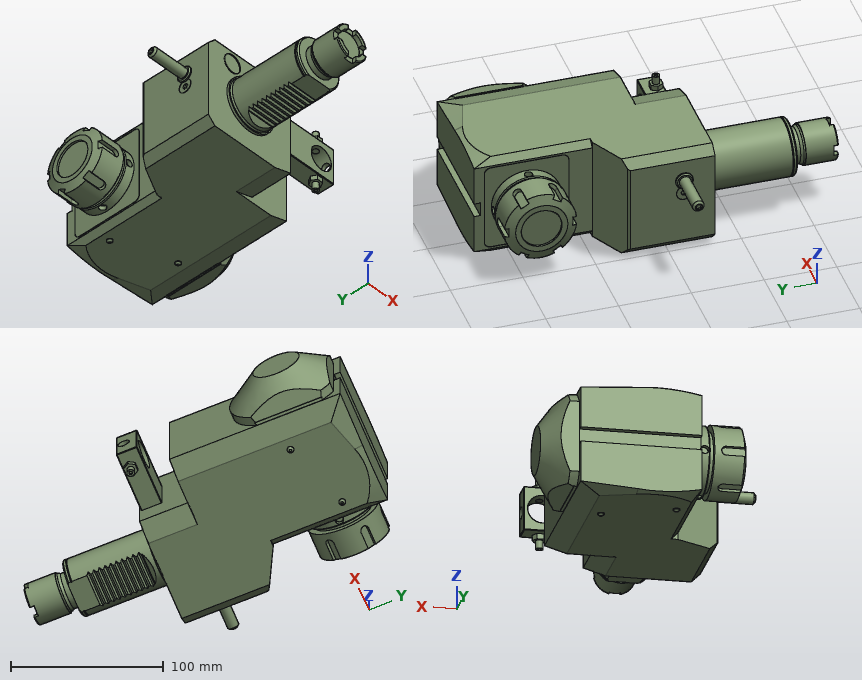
import cadquery as cq
import math


housing_height = 75.0
half_height = housing_height / 2
front_left = -39.0
front_right = 39.3
front_depth = 34.9
rear_left = -9.0
rear_right = 72.2
rear_end = 156.0
slope_start = 59.3
slope_end = 75.0
slope_edge_chamfer = 1.12
front_left_chamfer = 6.2
rear_left_chamfer = 4.5
right_chamfer_run = 15.0
right_chamfer_drop = 4.5
crown_top_end = 143.5
crown_top_peak = 152.6
crown_peak_x = 19.5
crown_shoulder_x = 33.9
crown_shoulder_drop = 2.0
crown_low_peak = 165.5
notch_width = 10.0
notch_depth = 4.2

spindle_y = 120.0
nut_tip = -42.0
nut_rim = -39.5
nut_back = -19.7
nut_radius = 25.0
nut_face_radius = 18.0
nut_bore_radius = 14.0
nut_bore_depth = 1.5
nut_slot_count = 6
nut_slot_width = 6.2
nut_slot_end = -24.5
nut_slot_depth = 3.0
groove_radius = 20.5
collar_start = -17.0
collar_radius = 24.2
collar_chamfer = 0.7
collar_hole_x = -13.2
collar_hole_diameter = 5.5
collar_hole_depth = 3.7
collar_hole_count = 4
pad_length = 58.0
pad_height = 63.0
pad_corner = 4.5
pad_depth = 0.2

cap_radius = 39.8
cap_rim = 78.5
cap_end = 95.0
cap_end_radius = 16.5
cap_flat_y = 151.5
cap_seam_end = 74.2
cap_seam_depth = 0.5

flange_radius = 21.5
flange_length = 2.0
flange_step_radius = 20.5
flange_taper_end = 3.5
shank_radius = 20.0
shank_end = 63.0
shank_chamfer = 1.0
ring_groove_from_end = 3.2
ring_groove_width = 0.7
ring_groove_depth = 0.2
rack_flat = 16.5
rack_start = 9.7
rack_pitch = 4.0
rack_grooves = 10
rack_groove_width = 2.7
rack_groove_depth = 1.2
neck_radius = 12.5
neck_end = 67.2
shoulder_start = 69.2
shoulder_radius = 13.5
coupling_diameter = 28.6
coupling_radius = coupling_diameter / 2
coupling_start = 70.5
coupling_end = 93.0
coupling_bore_radius = 10.2
coupling_slot_depth = 3.2
coupling_bore_depth = 3.5
coupling_slot_width = 7.5
coupling_slot_count = 4
coupling_chamfer = 0.7

bracket_right = 82.2
bracket_near = 1.2
bracket_far = 16.0
bracket_half_height = 15.2
bracket_chamfer = 0.5
bracket_hole_diameter = 19.2
bracket_hole_x = 70.0
side_hole_diameter = 8.0
screw_y = 6.5
screw_radius = 2.5
screw_inner = 9.2
screw_outer = 24.7
screw_nut_flats = 8.2
screw_nut_height = 3.7

pin_y = 21.2
pin_z = 16.0
pin_tip = -71.5
pin_radius = 4.0
pin_chamfer = 1.5
pin_seat_radius = 6.0
pin_seat_height = 1.7
socket_diameter = 4.2
socket_depth = 1.5
plug_z = 6.0
plug_radius = 5.2
plug_recess = 0.2
port_x = -16.0
port_z = 27.5
port_radius = 7.5
port_depth = 0.7
nipple_places = [(2.7, 128.7), (49.8, 111.5)]
nipple_radius = 2.2
nipple_tip_radius = 0.7
nipple_height = 1.7

overlap = 2.5
far = 249.0


def cylinder_x(radius, start, end, y, z):
    """Cylinder along X between two X positions."""
    return (
        cq.Workplane("YZ", origin=(start, y, z))
        .circle(radius)
        .extrude(end - start)
    )


def section_along_y(left, right, left_chamfer):
    """Cross-section with plain left chamfers and long shallow right chamfers."""
    upper_half = [
        (left, half_height - left_chamfer),
        (left + left_chamfer, half_height),
        (right - right_chamfer_run, half_height),
        (right, half_height - right_chamfer_drop),
    ]
    lower_half = [(x, -z) for x, z in reversed(upper_half)]
    return cq.Workplane("XZ").polyline(upper_half + lower_half).close()


def front_block():
    block = section_along_y(front_left, front_right, front_left_chamfer).extrude(-slope_end)
    slope = (slope_end - slope_start) / (rear_left - front_left)
    reach = slope_end - slope_start + overlap
    corner = (
        cq.Workplane("XY")
        .moveTo(front_left - overlap, slope_start - slope * overlap)
        .lineTo(front_left - overlap, slope_start + reach)
        .lineTo(front_left + reach / slope, slope_start + reach)
        .close()
        .extrude(half_height, both=True)
    )
    return (
        block.cut(corner)
        .edges(cq.selectors.NearestToPointSelector((front_left, slope_start, 0)))
        .chamfer(slope_edge_chamfer)
    )


def crown_envelope():
    """Upper half of the housing space, closed at the rear by a leaning arched face."""
    low = half_height - rear_left_chamfer

    def arch(plane, left, right, end, peak):
        return (
            plane.moveTo(left, -overlap)
            .lineTo(left, end)
            .threePointArc((crown_peak_x, peak), (crown_shoulder_x, peak - crown_shoulder_drop))
            .lineTo(right, end)
            .lineTo(right, -overlap)
            .close()
        )

    sections = arch(cq.Workplane("XY"), rear_left, rear_right, rear_end, crown_low_peak)
    sections = arch(
        sections.workplane(offset=half_height - low),
        rear_left + rear_left_chamfer,
        rear_right - right_chamfer_run,
        crown_top_end,
        crown_top_peak,
    )
    lean = sections.loft(ruled=True, combine=True).translate((0, 0, low))
    lower = arch(cq.Workplane("XY"), rear_left, rear_right, rear_end, crown_low_peak).extrude(low)
    return lean.union(lower)


def rear_block():
    section = section_along_y(rear_left, rear_right, rear_left_chamfer)
    block = section.extrude(-(rear_end - front_depth)).translate((0, front_depth, 0))
    upper = crown_envelope()
    block = block.intersect(upper.union(upper.mirror("XY")))
    notch = cq.Workplane("XY").box(far, 2 * notch_depth, notch_width).translate((0, rear_end, 0))
    pad = (
        cq.Workplane("YZ", origin=(rear_left, spindle_y, 0))
        .rect(pad_length, pad_height)
        .extrude(pad_depth)
        .edges("|X")
        .fillet(pad_corner)
    )
    return block.cut(notch).cut(pad)


def spindle():
    outline = [
        (nut_tip, 0),
        (nut_tip, nut_face_radius),
        (nut_rim, nut_radius),
        (nut_back, nut_radius),
        (nut_back, groove_radius),
        (collar_start, groove_radius),
        (collar_start, collar_radius - collar_chamfer),
        (collar_start + collar_chamfer, collar_radius),
        (rear_left + overlap, collar_radius),
        (rear_left + overlap, 0),
    ]
    body = cq.Workplane("XY").polyline(outline).close().revolve(360, (0, 0, 0), (1, 0, 0))
    body = body.cut(cylinder_x(nut_bore_radius, nut_tip, nut_tip + nut_bore_depth, 0, 0))

    slot_round = nut_slot_end - nut_slot_width / 2
    slot = (
        cq.Workplane("XZ", origin=(0, nut_radius - nut_slot_depth, 0))
        .moveTo(nut_tip - overlap, -nut_slot_width / 2)
        .lineTo(slot_round, -nut_slot_width / 2)
        .threePointArc((nut_slot_end, 0), (slot_round, nut_slot_width / 2))
        .lineTo(nut_tip - overlap, nut_slot_width / 2)
        .close()
        .extrude(-(nut_slot_depth + overlap))
    )
    for i in range(nut_slot_count):
        body = body.cut(slot.rotate((0, 0, 0), (1, 0, 0), i * 360 / nut_slot_count))

    hole = (
        cq.Workplane("XY", origin=(collar_hole_x, 0, collar_radius - collar_hole_depth))
        .circle(collar_hole_diameter / 2)
        .extrude(collar_hole_depth + overlap)
    )
    for i in range(collar_hole_count):
        body = body.cut(hole.rotate((0, 0, 0), (1, 0, 0), i * 360 / collar_hole_count))
    return body.translate((0, spindle_y, 0))


def cap():
    outline = [
        (rear_right - overlap, 0),
        (rear_right - overlap, cap_radius),
        (cap_rim, cap_radius),
        (cap_end, cap_end_radius),
        (cap_end, 0),
    ]
    body = cq.Workplane("XY").polyline(outline).close().revolve(360, (0, 0, 0), (1, 0, 0))
    body = body.translate((0, spindle_y, 0))
    slope = right_chamfer_drop / right_chamfer_run

    def height_at(x):
        return half_height - right_chamfer_drop - slope * (x - rear_right)

    upper_edge = [
        (rear_right, height_at(rear_right) - cap_seam_depth),
        (cap_seam_end, height_at(cap_seam_end) - cap_seam_depth),
        (cap_seam_end, height_at(cap_seam_end)),
        (cap_end, height_at(cap_end)),
    ]
    lower_edge = [(x, -z) for x, z in reversed(upper_edge)]
    envelope = (
        cq.Workplane("XZ", origin=(0, cap_flat_y, 0))
        .polyline(upper_edge + lower_edge)
        .close()
        .extrude(far)
    )
    return body.intersect(envelope)


def shank():
    ring_groove_start = shank_end - ring_groove_from_end
    outline = [
        (0, overlap),
        (flange_radius, overlap),
        (flange_radius, -flange_length),
        (flange_step_radius, -flange_length),
        (shank_radius, -flange_taper_end),
        (shank_radius, -ring_groove_start),
        (shank_radius - ring_groove_depth, -ring_groove_start),
        (shank_radius - ring_groove_depth, -ring_groove_start - ring_groove_width),
        (shank_radius, -ring_groove_start - ring_groove_width),
        (shank_radius, -shank_end + shank_chamfer),
        (shank_radius - shank_chamfer, -shank_end),
        (neck_radius, -shank_end),
        (neck_radius, -neck_end),
        (shoulder_radius, -shoulder_start),
        (shoulder_radius, -coupling_start),
        (coupling_radius, -coupling_start),
        (coupling_radius, -coupling_end + coupling_chamfer),
        (coupling_radius - coupling_chamfer, -coupling_end),
        (0, -coupling_end),
    ]
    body = cq.Workplane("XY").polyline(outline).close().revolve(360, (0, 0, 0), (0, 1, 0))
    return body.cut(rack_cutter()).cut(coupling_cutter())


def rack_cutter():
    """Clamping flat under the shank with a 45 degree run-out and V-grooves across it."""
    depth = flange_radius - rack_flat
    cutter = (
        cq.Workplane("YZ")
        .moveTo(-rack_start, -rack_flat)
        .lineTo(-rack_start + depth, -flange_radius)
        .lineTo(-shank_end, -flange_radius)
        .lineTo(-shank_end, -rack_flat)
        .close()
        .extrude(shank_radius, both=True)
    )
    for i in range(rack_grooves):
        groove_y = -rack_start - (i + 0.5) * rack_pitch
        groove = (
            cq.Workplane("YZ")
            .moveTo(groove_y - rack_groove_width / 2, -rack_flat)
            .lineTo(groove_y, -rack_flat + rack_groove_depth)
            .lineTo(groove_y + rack_groove_width / 2, -rack_flat)
            .close()
            .extrude(shank_radius, both=True)
        )
        cutter = cutter.union(groove)
    return cutter


def coupling_cutter():
    """Bore and cross slots in the end of the drive coupling."""
    end_plane = cq.Workplane("XZ", origin=(0, -coupling_end, 0))
    cutter = end_plane.circle(coupling_bore_radius).extrude(-coupling_bore_depth)
    for i in range(coupling_slot_count // 2):
        slot = end_plane.rect(2 * flange_radius, coupling_slot_width).extrude(-coupling_slot_depth)
        cutter = cutter.union(slot.rotate((0, 0, 0), (0, 1, 0), i * 360 / coupling_slot_count))
    return cutter


def bracket():
    left = front_right - overlap
    arm = (
        cq.Workplane("XY")
        .box(
            bracket_right - left,
            bracket_far - bracket_near,
            2 * bracket_half_height,
            centered=(False, False, True),
        )
        .translate((left, bracket_near, 0))
        .faces(">X or >Z or <Z")
        .chamfer(bracket_chamfer)
    )
    hole = (
        cq.Workplane("XZ", origin=(bracket_hole_x, 0, 0))
        .circle(bracket_hole_diameter / 2)
        .extrude(-far)
    )
    arm = arm.cut(hole)
    arm = arm.cut(cylinder_x(side_hole_diameter / 2, bracket_hole_x, far, screw_y, 0))

    screw = (
        cq.Workplane("XY", origin=(bracket_hole_x, screw_y, screw_inner))
        .circle(screw_radius)
        .extrude(screw_outer - screw_inner)
    )
    lock_nut = (
        cq.Workplane("XY", origin=(bracket_hole_x, screw_y, bracket_half_height))
        .polygon(6, screw_nut_flats / math.cos(math.pi / 6))
        .extrude(screw_nut_height)
    )
    socket = (
        cq.Workplane("XY", origin=(bracket_hole_x, screw_y, screw_outer - socket_depth))
        .polygon(6, screw_radius)
        .extrude(socket_depth)
    )
    screw = screw.union(lock_nut).cut(socket)
    return arm.union(screw).union(screw.mirror("XY"))


def hex_socket_x(start, z):
    return (
        cq.Workplane("YZ", origin=(start, pin_y, z))
        .polygon(6, socket_diameter)
        .extrude(socket_depth)
    )


def coolant_pin():
    pin = cylinder_x(pin_radius, pin_tip, front_left + overlap, pin_y, pin_z)
    pin = pin.faces("<X").chamfer(pin_chamfer)
    seat = cylinder_x(pin_seat_radius, front_left - pin_seat_height, front_left + overlap, pin_y, pin_z)
    seat = seat.faces("<X").chamfer(pin_seat_height / 2)
    return pin.union(seat).cut(hex_socket_x(pin_tip, pin_z))


def plug():
    recess = cylinder_x(plug_radius, front_left, front_left + plug_recess, pin_y, plug_z)
    return recess.union(hex_socket_x(front_left, plug_z))


def port():
    return (
        cq.Workplane("XZ", origin=(port_x, 0, port_z))
        .circle(port_radius)
        .extrude(-port_depth)
    )


def nipple(x, y):
    outline = [
        (0, overlap),
        (nipple_radius, overlap),
        (nipple_radius, -nipple_height / 3),
        (nipple_tip_radius, -nipple_height),
        (0, -nipple_height),
    ]
    body = cq.Workplane("XZ").polyline(outline).close().revolve(360, (0, 0, 0), (0, 1, 0))
    return body.translate((x, y, -half_height))


result = front_block().union(rear_block())
result = result.cut(plug()).cut(port())
for fitting in (spindle(), cap(), shank(), bracket(), coolant_pin()):
    result = result.union(fitting)
for nipple_x, nipple_y in nipple_places:
    result = result.union(nipple(nipple_x, nipple_y))